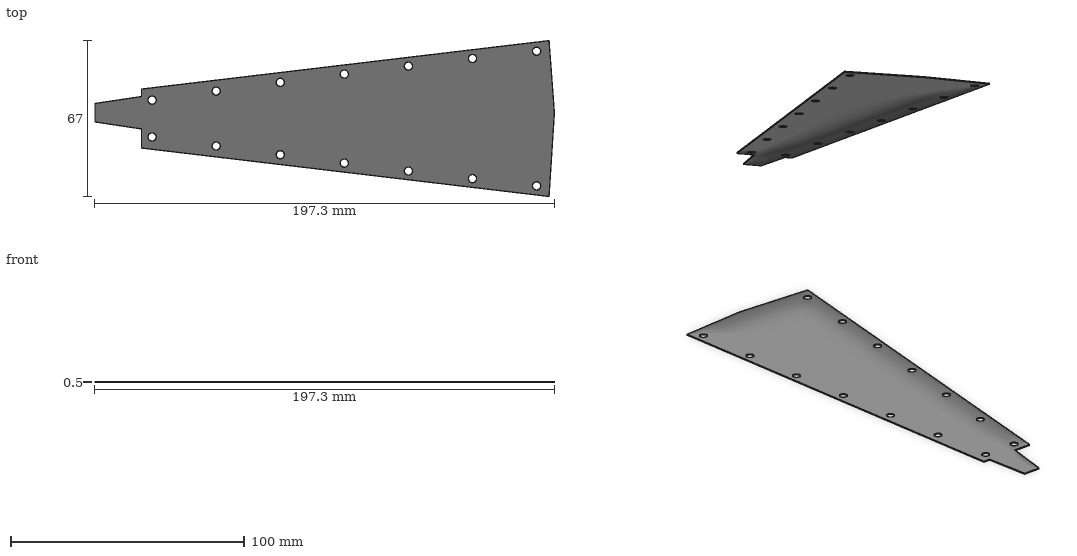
import cadquery as cq

LENGTH = 197.3
WIDE_END_WIDTH = 67.0
THICKNESS = 0.5

OFFSET_LINE_Y = 2.5

PEAK_HEIGHT = 2.3

TONGUE_LENGTH = 20.0
TONGUE_TIP_WIDTH = 8.0
TONGUE_ROOT_WIDTH = 14.0

SHOULDER_WIDTH = 25.4

HOLE_DIAMETER = 3.4
HOLES_PER_ROW = 7
HOLE_PITCH = 27.5
FIRST_HOLE_X = 24.6
FIRST_HOLE_Y = 7.9
LAST_HOLE_Y = 28.9
ROW_BOW = 0.7


def make_plate():
    half_wide = WIDE_END_WIDTH / 2
    half_shoulder = SHOULDER_WIDTH / 2
    half_tip = TONGUE_TIP_WIDTH / 2
    half_root = TONGUE_ROOT_WIDTH / 2
    wide_corner_x = LENGTH - PEAK_HEIGHT
    outline = [
        (0, OFFSET_LINE_Y - half_tip),
        (TONGUE_LENGTH, OFFSET_LINE_Y - half_root),
        (TONGUE_LENGTH, -half_shoulder),
        (wide_corner_x, -half_wide),
        (LENGTH, OFFSET_LINE_Y),
        (wide_corner_x, half_wide),
        (TONGUE_LENGTH, half_shoulder),
        (TONGUE_LENGTH, OFFSET_LINE_Y + half_root),
        (0, OFFSET_LINE_Y + half_tip),
    ]
    return cq.Workplane("XY").polyline(outline).close().extrude(THICKNESS)


def hole_centres():
    centres = []
    for index in range(HOLES_PER_ROW):
        along = index / (HOLES_PER_ROW - 1)
        x = FIRST_HOLE_X + index * HOLE_PITCH
        straight_y = FIRST_HOLE_Y + along * (LAST_HOLE_Y - FIRST_HOLE_Y)
        y = straight_y + 4 * ROW_BOW * along * (1 - along)
        centres += [(x, y), (x, -y)]
    return centres


def make_hole_cutters():
    return cq.Workplane("XY").pushPoints(hole_centres()).circle(HOLE_DIAMETER / 2).extrude(THICKNESS)


result = make_plate().cut(make_hole_cutters())